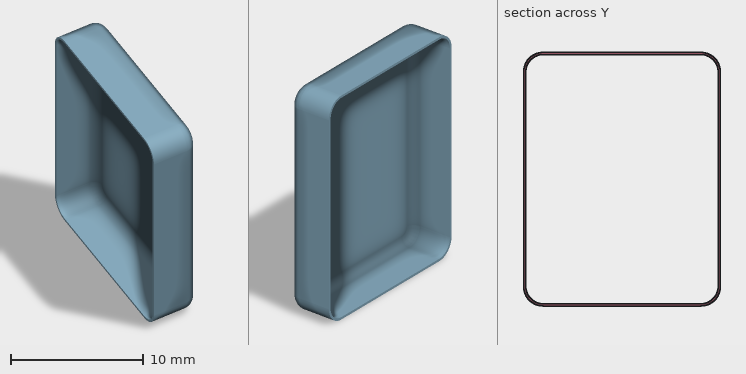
import cadquery as cq

width = 14.9
depth = 3.8
height = 19.2

wall = 0.2
corner_radius = 1.5
floor_radius = 0.9


def rounded_block(inset):
    """Block inset from the outer surface, open end at Y = 0 and rounded floor toward +Y."""
    return (
        cq.Workplane("XZ")
        .rect(width - 2 * inset, height - 2 * inset)
        .extrude(-(depth - inset))
        .edges("|Y")
        .fillet(corner_radius - inset)
        .faces(">Y")
        .edges()
        .fillet(floor_radius - inset)
    )


outer_body = rounded_block(0)
cavity = rounded_block(wall)
result = outer_body.cut(cavity)